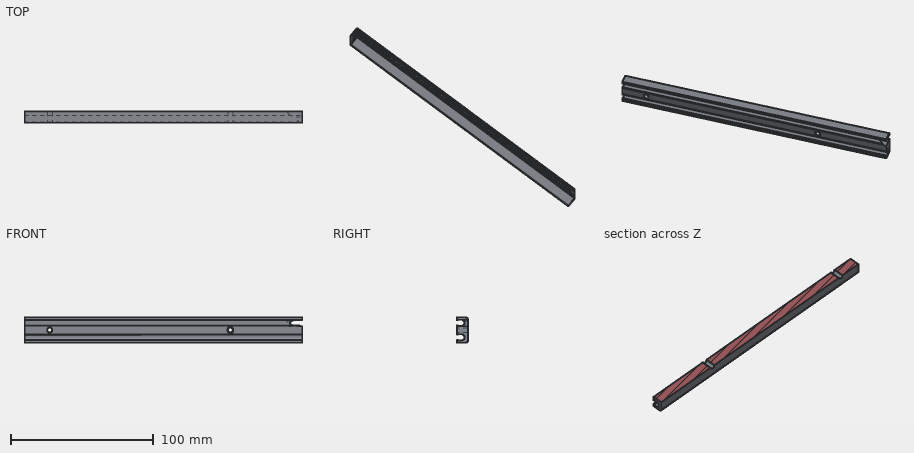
import cadquery as cq

LENGTH = 194.97
DEPTH = 8.0
HEIGHT = 18.0
FRONT = -DEPTH / 2
BACK = DEPTH / 2
RIGHT_END = LENGTH / 2
LEFT_END = -LENGTH / 2

BACK_EDGE_RADIUS = 2.0

GROOVE_CENTRE_Z = 5.1
GROOVE_WIDTH = 4.2
GROOVE_DEPTH = 5.4
GROOVE_FLOOR_Y = FRONT + GROOVE_DEPTH
MOUTH_WIDTH = 3.5
LIP_THICKNESS = 0.7
LIP_CHAMFER = 0.3

LEFT_HOLE_X = LEFT_END + 17.65
RIGHT_HOLE_X = LEFT_END + 144.4
HOLE_DIAMETER = 3.4
COUNTERSINK_DIAMETER = 4.2

SLOT_WIDTH = 4.4
SLOT_REACH = 8.75
SLOT_CENTRE_Z = 4.85


def rail_body():
    """Rectangular bar with both long back edges rounded."""
    bar = cq.Workplane("XY").box(LENGTH, DEPTH, HEIGHT)
    return bar.edges("|X and >Y").fillet(BACK_EDGE_RADIUS)


def groove(side):
    """Round-floored groove along the rail; side is +1 for the upper one, -1 for the lower."""
    centre_z = side * GROOVE_CENTRE_Z
    radius = GROOVE_WIDTH / 2
    neck = MOUTH_WIDTH / 2
    rim = neck + LIP_CHAMFER
    arc_start = GROOVE_FLOOR_Y - radius
    neck_start = FRONT + LIP_CHAMFER
    neck_end = FRONT + LIP_THICKNESS
    return (
        cq.Workplane("YZ", origin=(0, 0, centre_z))
        .moveTo(FRONT, -rim)
        .lineTo(neck_start, -neck)
        .lineTo(neck_end, -neck)
        .lineTo(neck_end, -radius)
        .lineTo(arc_start, -radius)
        .threePointArc((GROOVE_FLOOR_Y, 0), (arc_start, radius))
        .lineTo(neck_end, radius)
        .lineTo(neck_end, neck)
        .lineTo(neck_start, neck)
        .lineTo(FRONT, rim)
        .close()
        .extrude(LENGTH / 2, both=True)
    )


def front_plane(x, z):
    """Workplane on the front face at (x, z), with its normal pointing into the rail."""
    return cq.Workplane(cq.Plane(origin=(x, FRONT, z), xDir=(1, 0, 0), normal=(0, 1, 0)))


def through_hole(x):
    return front_plane(x, 0).circle(HOLE_DIAMETER / 2).extrude(DEPTH)


def countersink(x):
    """45 degree cone that bevels the front rim of a hole."""
    return (
        front_plane(x, 0)
        .circle(COUNTERSINK_DIAMETER / 2)
        .workplane(offset=(COUNTERSINK_DIAMETER - HOLE_DIAMETER) / 2)
        .circle(HOLE_DIAMETER / 2)
        .loft(ruled=True)
    )


def end_slot():
    """Round-ended slot swept along the 45 degree slant, through the groove floor and the right end."""
    radius = SLOT_WIDTH / 2
    tip = (RIGHT_END - SLOT_REACH, GROOVE_FLOOR_Y, SLOT_CENTRE_Z)
    slanted = cq.Plane(origin=tip, xDir=(1, 1, 0), normal=(1, -1, 0))
    return (
        cq.Workplane(slanted)
        .moveTo(LENGTH, radius)
        .lineTo(radius, radius)
        .threePointArc((0, 0), (radius, -radius))
        .lineTo(LENGTH, -radius)
        .close()
        .extrude(LENGTH, both=True)
    )


result = rail_body()
for groove_side in (1, -1):
    result = result.cut(groove(groove_side))
result = result.cut(through_hole(LEFT_HOLE_X))
result = result.cut(through_hole(RIGHT_HOLE_X))
result = result.cut(countersink(RIGHT_HOLE_X))
result = result.cut(end_slot())